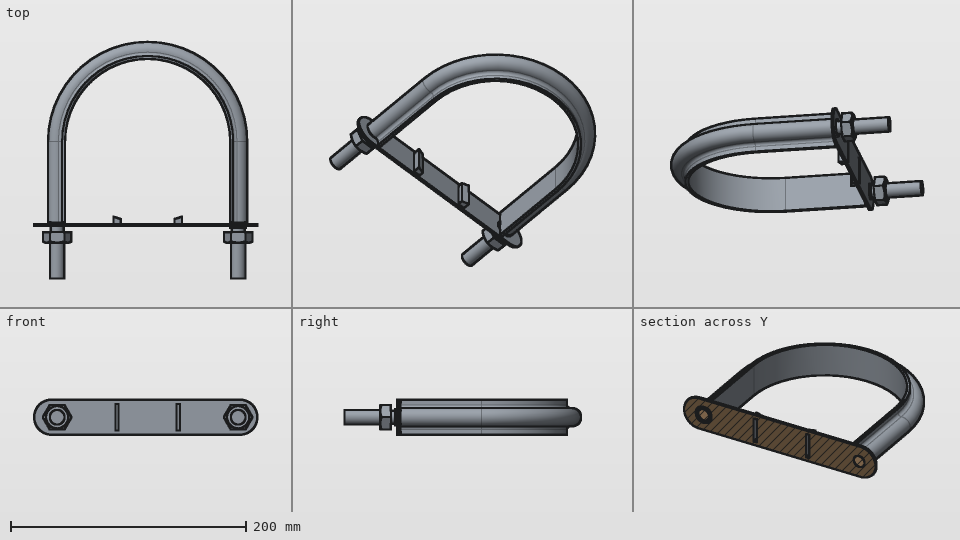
import cadquery as cq
import math

overall_length = 201.5
leg_x = 77.0
rod_dia = 11.3
thread_dia = 12.5

tube_radius = 7.9
band_width = 30.0
band_thickness = 2.6
band_offset = 4.2
fillet_radius = 2.8
sheath_end_y = 48.0
bend_y = overall_length - tube_radius - leg_x

plate_length = 190.0
plate_width = band_width
plate_center_x = -1.6
plate_front_y = 44.7
plate_thickness = 1.8
plate_back_y = plate_front_y + plate_thickness
clearance_dia = 15.3
collar_dia = 13.7
collar_height = 1.6

tab_x = 26.0
tab_width = 6.5
tab_length = 24.8
tab_high = 6.2
tab_low = 4.2
slot_width = 2.8
slot_length = 22.4
tab_roof = 1.5

nut_front_y = 30.2
nut_back_y = 39.7
nut_flats = 21.2
nut_face_dia = 19.0
nut_bevel_depth = 1.5
nut_height = nut_back_y - nut_front_y
nut_corners = nut_flats / math.cos(math.pi / 6)


def cylinder(x, start_y, end_y, diameter):
    """Cylinder along Y, centred on z = 0."""
    plane = cq.Plane(origin=(x, start_y, 0), xDir=(1, 0, 0), normal=(0, 1, 0))
    return cq.Workplane(plane).circle(diameter / 2).extrude(end_y - start_y)


def bend_around_u(profile_at, start_y):
    """Extrude a profile along both legs and revolve it around the bend.

    profile_at(y) draws the left leg's cross-section on the plane at y.
    """
    leg_length = bend_y - start_y
    left_leg = profile_at(start_y).extrude(leg_length)
    right_leg = left_leg.mirror("YZ")
    bend = profile_at(bend_y).revolve(180, (leg_x, 0, 0), (leg_x, 1, 0))
    return left_leg.union(bend).union(right_leg)


def leg_plane(y):
    """Sketch plane across the left leg, local +X pointing into the U."""
    return cq.Workplane(cq.Plane(origin=(-leg_x, y, 0), xDir=(1, 0, 0), normal=(0, 1, 0)))


def rod_profile(y):
    return leg_plane(y).circle(rod_dia / 2)


def sheath_profile(y):
    """Tube arc blended into the band by a tangent fillet on each side."""
    half_width = band_width / 2
    band_inner = band_offset + band_thickness
    center_distance = tube_radius + fillet_radius
    fillet_x = band_offset - fillet_radius
    fillet_z = math.sqrt(center_distance ** 2 - fillet_x ** 2)
    tangent_x = fillet_x * tube_radius / center_distance
    tangent_z = fillet_z * tube_radius / center_distance
    start_angle = math.atan2(-fillet_z, -fillet_x)
    middle_angle = start_angle / 2
    middle_x = fillet_x + fillet_radius * math.cos(middle_angle)
    middle_z = fillet_z + fillet_radius * math.sin(middle_angle)
    return (
        leg_plane(y)
        .moveTo(band_inner, -half_width)
        .lineTo(band_inner, half_width)
        .lineTo(band_offset, half_width)
        .lineTo(band_offset, fillet_z)
        .threePointArc((middle_x, middle_z), (tangent_x, tangent_z))
        .threePointArc((-tube_radius, 0), (tangent_x, -tangent_z))
        .threePointArc((middle_x, -middle_z), (band_offset, -fillet_z))
        .lineTo(band_offset, -half_width)
        .close()
    )


def make_rod():
    rod = bend_around_u(rod_profile, nut_back_y)
    for x in (-leg_x, leg_x):
        rod = rod.union(cylinder(x, 0, nut_back_y, thread_dia))
    return rod


def make_sheath():
    return bend_around_u(sheath_profile, sheath_end_y).cut(bend_around_u(rod_profile, sheath_end_y))


def tab_prism(side, width, length, base_y, roof):
    """Prism under the sloping tab roof, lowered by roof; its high edge faces away from x = 0."""
    slope = (tab_high - tab_low) / tab_width
    middle_y = plate_back_y + (tab_high + tab_low) / 2 - roof
    rise = slope * width / 2
    outer_x = side * (tab_x + width / 2)
    inner_x = side * (tab_x - width / 2)
    return (
        cq.Workplane("XY")
        .polyline([
            (outer_x, base_y),
            (inner_x, base_y),
            (inner_x, middle_y - rise),
            (outer_x, middle_y + rise),
        ])
        .close()
        .extrude(length / 2, both=True)
    )


def make_plate():
    front = cq.Plane(origin=(plate_center_x, plate_front_y, 0), xDir=(1, 0, 0), normal=(0, 1, 0))
    plate = cq.Workplane(front).slot2D(plate_length, plate_width).extrude(plate_thickness)
    for side in (-1, 1):
        plate = plate.union(tab_prism(side, tab_width, tab_length, plate_front_y, 0))
        plate = plate.cut(tab_prism(side, slot_width, slot_length, plate_front_y, tab_roof))
    collar_front_y = plate_front_y - collar_height
    plate = plate.union(cylinder(leg_x, collar_front_y, plate_back_y, collar_dia))
    plate = plate.cut(cylinder(leg_x, collar_front_y, plate_back_y, rod_dia))
    return plate.cut(cylinder(-leg_x, plate_front_y, plate_back_y, clearance_dia))


def make_nut(x):
    """Hexagonal nut with corners on +X and -X and a bevelled front face."""
    front = cq.Plane(origin=(x, nut_front_y, 0), xDir=(1, 0, 0), normal=(0, 1, 0))
    hexagon = cq.Workplane(front).polygon(6, nut_corners).extrude(nut_height)
    bevel = (
        cq.Workplane("XY")
        .polyline([
            (0, nut_front_y),
            (nut_face_dia / 2, nut_front_y),
            (nut_corners / 2, nut_front_y + nut_bevel_depth),
            (nut_corners / 2, nut_back_y),
            (0, nut_back_y),
        ])
        .close()
        .revolve(360, (0, 0, 0), (0, 1, 0))
        .translate((x, 0, 0))
    )
    return hexagon.intersect(bevel).cut(cylinder(x, nut_front_y, nut_back_y, thread_dia))


rod = make_rod()
sheath = make_sheath()
plate = make_plate()
nuts = [make_nut(x) for x in (-leg_x, leg_x)]

result = cq.Compound.makeCompound([
    rod.val(),
    sheath.val(),
    plate.val(),
    *[nut.val() for nut in nuts],
])